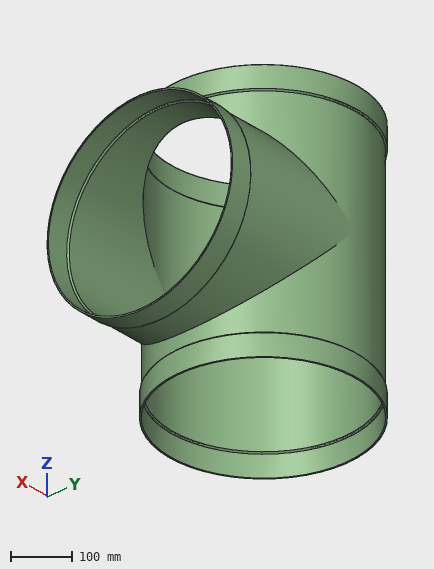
import cadquery as cq

pipe_outer_diameter = 400.0
wall = 3.0
run_length = 550.0
branch_reach = 305.0
socket_depth = 45.0

pipe_outer_radius = pipe_outer_diameter / 2
pipe_inner_radius = pipe_outer_radius - wall
socket_step = wall
taper_length = socket_step

UP = cq.Vector(0, 0, 1)
DOWN = cq.Vector(0, 0, -1)
ALONG_X = cq.Vector(1, 0, 0)


def rod(direction, radius, start, end):
    """Cylinder along an axis through the origin, from start to end."""
    solid = cq.Solid.makeCylinder(radius, end - start, direction * start, direction)
    return cq.Workplane(obj=solid)


def taper(direction, start_radius, end_radius, start, end):
    """Cone frustum along an axis through the origin, from start to end."""
    solid = cq.Solid.makeCone(start_radius, end_radius, end - start, direction * start, direction)
    return cq.Workplane(obj=solid)


def arm(direction, reach, pipe_radius):
    """Pipe from the tee centre out to reach, ending in a taper and a socket."""
    socket_radius = pipe_radius + socket_step
    socket_start = reach - socket_depth
    taper_start = socket_start - taper_length
    pipe = rod(direction, pipe_radius, 0, reach)
    shoulder = taper(direction, pipe_radius, socket_radius, taper_start, socket_start)
    socket = rod(direction, socket_radius, socket_start, reach)
    return pipe.union(socket).union(shoulder)


def filled_tee(pipe_radius):
    """Filled tee: two vertical run arms and the branch arm."""
    run_top = arm(UP, run_length / 2, pipe_radius)
    run_bottom = arm(DOWN, run_length / 2, pipe_radius)
    branch = arm(ALONG_X, branch_reach, pipe_radius)
    return run_top.union(run_bottom).union(branch)


outside = filled_tee(pipe_outer_radius)
inside = filled_tee(pipe_inner_radius)

result = outside.cut(inside)